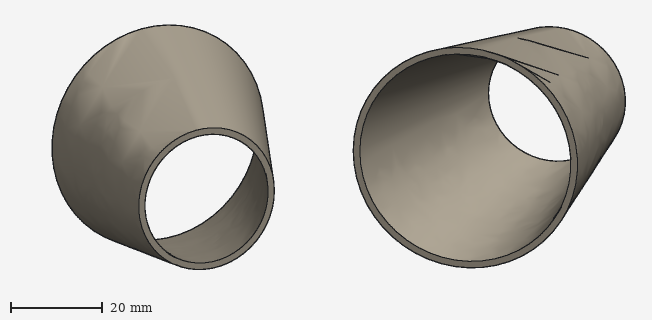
import cadquery as cq

length = 49.5
large_outer_diameter = 50.0
small_outer_diameter = 32.0
wall = 1.5

small_end_offset = (large_outer_diameter - small_outer_diameter) / 2


def oblique_cone(large_diameter, small_diameter):
    """Solid lofted from the large circle at X = 0 to the offset small circle at X = length."""
    return (
        cq.Workplane("YZ")
        .circle(large_diameter / 2)
        .workplane(offset=length)
        .center(-small_end_offset, 0)
        .circle(small_diameter / 2)
        .loft(ruled=True, combine=True)
    )


outer_body = oblique_cone(large_outer_diameter, small_outer_diameter)
bore = oblique_cone(large_outer_diameter - 2 * wall, small_outer_diameter - 2 * wall)

result = outer_body.cut(bore)